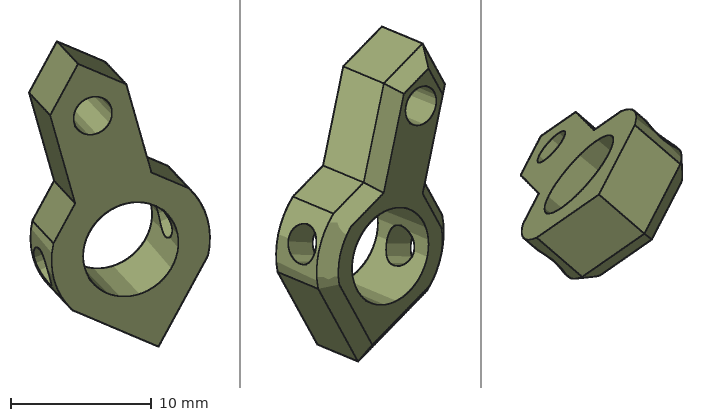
import cadquery as cq
import math

thickness = 5.5
chamfer = 1.1
tilt_angle = 60.0

half_side = 5.73
round_radius = 6.0
bore_diameter = 7.2

arm_corner = 10.9
arm_offset = 4.23
arm_hole_place = 7.85
small_hole_diameter = 2.9
cross_hole_x = 2.9

flat_end = math.sqrt(round_radius**2 - half_side**2)
arc_middle = round_radius / math.sqrt(2)
neck = half_side - arm_offset
shoulder = arm_corner - arm_offset


def make_body():
    """Extruded outline with the rim of its -X face chamfered."""
    outline = (
        cq.Workplane("YZ")
        .moveTo(-half_side, -half_side)
        .lineTo(flat_end, -half_side)
        .threePointArc((arc_middle, -arc_middle), (half_side, -flat_end))
        .lineTo(half_side, neck)
        .lineTo(arm_corner, shoulder)
        .lineTo(arm_corner, arm_corner)
        .lineTo(shoulder, arm_corner)
        .lineTo(neck, half_side)
        .lineTo(-flat_end, half_side)
        .threePointArc((-arc_middle, arc_middle), (-half_side, flat_end))
        .close()
    )
    return outline.extrude(thickness).faces("<X").edges().chamfer(chamfer)


def hole_along_x(y, z, diameter):
    return cq.Workplane("YZ").center(y, z).circle(diameter / 2).extrude(thickness)


def make_cross_hole():
    """Radial hole through both rounded corners, square to the arm."""
    plane = cq.Plane(origin=(cross_hole_x, 0, 0), xDir=(1, 0, 0), normal=(0, 1, -1))
    return cq.Workplane(plane).circle(small_hole_diameter / 2).extrude(2 * round_radius, both=True)


bore = hole_along_x(0, 0, bore_diameter)
arm_hole = hole_along_x(arm_hole_place, arm_hole_place, small_hole_diameter)

part = make_body().cut(bore).cut(arm_hole).cut(make_cross_hole())
result = part.rotate((0, 0, 0), (1, 0, 0), tilt_angle)